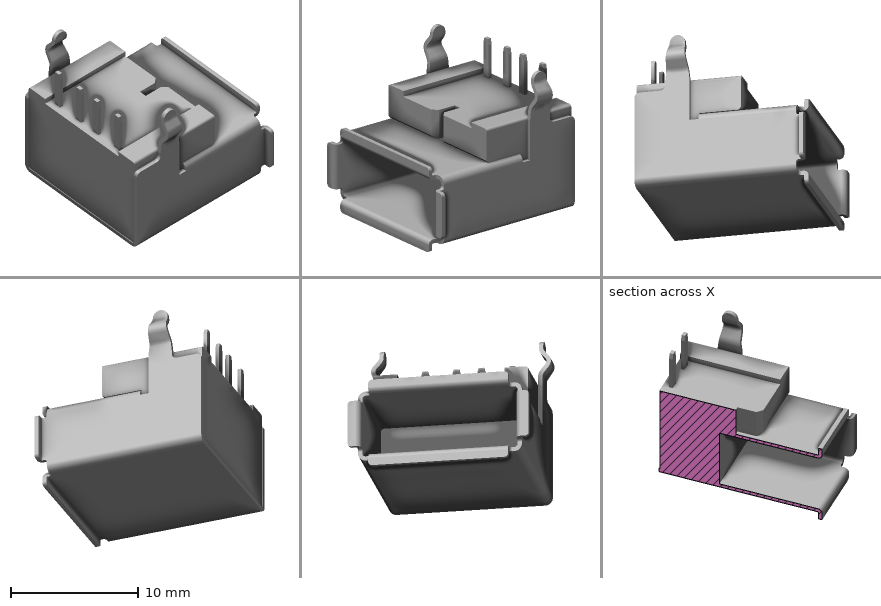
import cadquery as cq
import math


overall_width = 14.5
overall_depth = 13.9
overall_height = 13.05
flange_reach = 0.7
leg_top = overall_height - flange_reach

sheet = 0.35
shell_width = overall_width - 2 * flange_reach
shell_height = 5.74
shell_length = 13.14
shell_radius = 0.61
shell_top_start = 5.2
side_top = shell_height - shell_radius

top_flange_width = 11.2
side_flange_width = 3.78
bend_radius = 0.42
flange_corner = 0.3
root_fillet = 0.22
root_depth = 0.29

leg_front = 4.5
leg_rear = 2.5
shoulder_height = 7.82
shoulder_radius = 0.4
taper_start = 8.48
tip_start = 11.73
tip_half_width = 0.62
leg_bend_low = 9.47
leg_bend_mid = 10.54
leg_bend_high = 11.48
leg_bulge = 0.8
leg_end_bend_radius = 0.55
leg_mid_bend_radius = 0.38

housing_rear = 0.07
housing_front = 8.6
housing_top = 8.64
housing_width = shell_width - 2 * sheet
top_edge_radius = 0.22
front_chamfer = 0.23
channel_width = 8.58
channel_floor = 8.16
slot_width = 0.67
slot_rear = 6.57
slot_flare = 0.44

pin_positions = (-3.5, -1.0, 1.0, 3.5)
pin_width = 0.67
pin_thickness = 0.3
pin_y = 0.78
pin_top = 11.48
pin_tip_width = 0.44
pin_tip_length = 0.46
pin_embed = 0.72


def box(x_size, y_start, y_end, z_start, z_end):
    """Box centred on X between the given Y and Z limits."""
    y_size = y_end - y_start
    z_size = z_end - z_start
    block = cq.Workplane("XY").box(x_size, y_size, z_size, centered=(True, False, False))
    return block.translate((0, y_start, z_start))


def rounded_bar(width, height, radius, length):
    """Bar along +Y, centred on the shell axis, with rounded long edges."""
    bar = cq.Workplane("XY").box(width, length, height, centered=(True, False, True))
    return bar.edges("|Y").fillet(radius).translate((0, 0, shell_height / 2))


def make_tube():
    outside = rounded_bar(shell_width, shell_height, shell_radius, shell_length)
    inside = rounded_bar(
        shell_width - 2 * sheet, shell_height - 2 * sheet, shell_radius - sheet, shell_length
    )
    rear_opening = box(shell_width, 0, shell_top_start, side_top, shell_height)
    return outside.cut(inside).cut(rear_opening)


def make_flange(width):
    """Outward flange on a wall whose outer face is the plane Z = 0."""
    bend_start = overall_depth - bend_radius
    inner_radius = bend_radius - sheet
    root_start = shell_length - root_depth
    mid = math.sqrt(0.5)
    root_width = width + 2 * root_depth
    bent_sheet = (
        cq.Workplane("YZ")
        .moveTo(root_start, -sheet)
        .lineTo(bend_start, -sheet)
        .threePointArc(
            (bend_start + bend_radius * mid, inner_radius - bend_radius * mid),
            (overall_depth, inner_radius),
        )
        .lineTo(overall_depth, flange_reach)
        .lineTo(overall_depth - sheet, flange_reach)
        .lineTo(overall_depth - sheet, inner_radius)
        .threePointArc(
            (bend_start + inner_radius * mid, inner_radius - inner_radius * mid), (bend_start, 0)
        )
        .lineTo(root_start, 0)
        .close()
        .extrude(root_width / 2, both=True)
    )
    plan = box(root_width, root_start, shell_length, -sheet, flange_reach).union(
        box(width, root_start, overall_depth, -sheet, flange_reach)
    )
    for side in (1, -1):
        notch_corner = cq.selectors.NearestToPointSelector((side * width / 2, shell_length, 0))
        plan = plan.edges("|Z").edges(notch_corner).fillet(root_fillet)
    flange = bent_sheet.intersect(plan)
    return flange.faces(">Z").edges("|Y").fillet(flange_corner)


def make_flanges():
    """One flange on each of the four walls around the mouth."""
    flanges = cq.Workplane("XY")
    for turn in range(4):
        on_side = turn % 2 == 1
        width = side_flange_width if on_side else top_flange_width
        offset = shell_width / 2 if on_side else shell_height / 2
        flange = make_flange(width).translate((0, 0, offset))
        flange = flange.rotate((0, 0, 0), (0, 1, 0), 90 * turn)
        flanges = flanges.add(flange.translate((0, 0, shell_height / 2)))
    return flanges.combine()


def make_leg_strip():
    """Bent strip of the +X wall and leg, left long at both ends."""
    rest_x = (shell_width - sheet) / 2
    bulge_x = rest_x + leg_bulge
    path = [
        (rest_x, 0),
        (rest_x, leg_bend_low),
        (bulge_x, leg_bend_mid),
        (rest_x, leg_bend_high),
        (rest_x, 2 * leg_top),
    ]
    strip = cq.Workplane("XZ").polyline(path).offset2D(sheet / 2, "intersection").extrude(-leg_front)
    inner_radii = (leg_end_bend_radius, leg_mid_bend_radius, leg_end_bend_radius)
    hollow_sides = (1, -1, 1)
    for (x, z), hollow_side, inner_radius in zip(path[1:-1], hollow_sides, inner_radii):
        for side in (1, -1):
            radius = inner_radius if side == hollow_side else inner_radius + sheet
            bend_edge = cq.selectors.NearestToPointSelector((x + side * sheet / 2, leg_front / 2, z))
            strip = strip.edges("|Y").edges(bend_edge).fillet(radius)
    return strip


def make_leg_blank():
    """Flat outline of the wall and leg, extruded across the +X half."""
    tip_y = (leg_front + leg_rear) / 2
    ledge_start = leg_rear - shoulder_radius
    arc_inset = shoulder_radius * (1 - math.sqrt(0.5))
    return (
        cq.Workplane("YZ")
        .moveTo(0, side_top)
        .lineTo(leg_front, side_top)
        .lineTo(leg_front, taper_start)
        .lineTo(tip_y + tip_half_width, tip_start)
        .threePointArc((tip_y, leg_top), (tip_y - tip_half_width, tip_start))
        .lineTo(leg_rear, taper_start)
        .lineTo(leg_rear, shoulder_height + shoulder_radius)
        .threePointArc(
            (leg_rear - arc_inset, shoulder_height + arc_inset), (ledge_start, shoulder_height)
        )
        .lineTo(shoulder_radius, shoulder_height)
        .threePointArc(
            (arc_inset, shoulder_height - arc_inset), (0, shoulder_height - shoulder_radius)
        )
        .close()
        .extrude(overall_width)
    )


def make_legs():
    leg = make_leg_strip().intersect(make_leg_blank())
    return leg.union(leg.mirror("YZ"))


def make_housing():
    block = box(housing_width, housing_rear, housing_front, shell_height, housing_top)
    block = block.faces(">Y").edges("<Z").chamfer(front_chamfer)
    block = block.faces(">Z").edges("|Y").fillet(top_edge_radius)
    base = box(housing_width, housing_rear, shell_top_start, sheet, shell_height)
    base = base.faces("<Z").edges("|Y").fillet(shell_radius - sheet)
    channel = box(channel_width, 0, overall_depth, channel_floor, housing_top)
    return base.union(block).cut(channel).cut(make_slot())


def make_slot():
    """Flared slot through the front of the overhang."""
    half = slot_width / 2
    flare_start = housing_front - slot_flare
    return (
        cq.Workplane("XY")
        .workplane(offset=shell_height)
        .polyline(
            [
                (-half, slot_rear),
                (half, slot_rear),
                (half, flare_start),
                (half + slot_flare, housing_front),
                (-half - slot_flare, housing_front),
                (-half, flare_start),
            ]
        )
        .close()
        .extrude(housing_top - shell_height)
    )


def make_pin(x):
    half = pin_width / 2
    tip_half = pin_tip_width / 2
    tip_base = pin_top - pin_tip_length
    pin_foot = channel_floor - pin_embed
    return (
        cq.Workplane("XZ")
        .polyline(
            [
                (-half, pin_foot),
                (half, pin_foot),
                (half, tip_base),
                (tip_half, pin_top),
                (-tip_half, pin_top),
                (-half, tip_base),
            ]
        )
        .close()
        .extrude(pin_thickness / 2, both=True)
        .translate((x, pin_y, 0))
    )


result = make_tube().union(make_flanges()).union(make_legs()).union(make_housing())
for pin_x in pin_positions:
    result = result.union(make_pin(pin_x))